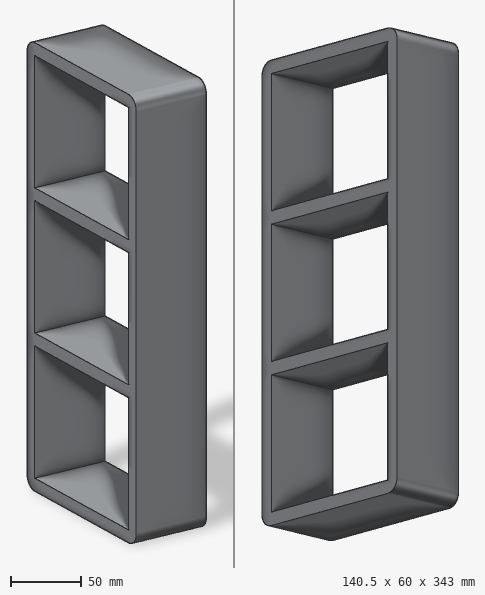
import cadquery as cq

width = 140.5
depth = 60.0
height = 343.0
board = 10.0
corner_radius = 10.0
bay_count = 3

bay_width = width - 2 * board
bay_height = (height - (bay_count + 1) * board) / bay_count
bay_pitch = bay_height + board


def rounded_block():
    """Solid outer body with its four depth-wise edges rounded."""
    return cq.Workplane("XY").box(width, depth, height).edges("|Y").fillet(corner_radius)


def bay_opening(bay):
    """Opening through the full depth; bays are counted upward from the bottom."""
    center_z = (bay - (bay_count - 1) / 2) * bay_pitch
    return cq.Workplane("XY").box(bay_width, depth, bay_height).translate((0, 0, center_z))


result = rounded_block()
for bay in range(bay_count):
    result = result.cut(bay_opening(bay))